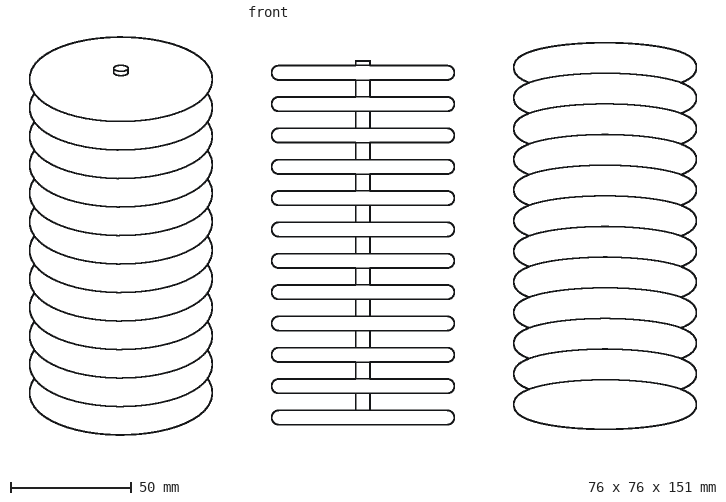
import cadquery as cq

total_height = 151.0
disc_diameter = 76.0
disc_thickness = 6.0
disc_count = 12
rod_diameter = 6.0
rod_tip_height = 2.0

rim_radius = disc_thickness / 2
face_radius = disc_diameter / 2 - rim_radius
disc_pitch = (total_height - rod_tip_height - disc_thickness) / (disc_count - 1)


def make_disc(base_height):
    """Flat disc with a fully rounded rim, resting at base_height."""
    profile = (
        cq.Workplane("XZ")
        .moveTo(0, 0)
        .lineTo(face_radius, 0)
        .threePointArc((disc_diameter / 2, rim_radius), (face_radius, disc_thickness))
        .lineTo(0, disc_thickness)
        .close()
    )
    disc = profile.revolve(360, (0, 0, 0), (0, 1, 0))
    return disc.translate((0, 0, base_height))


result = cq.Workplane("XY").circle(rod_diameter / 2).extrude(total_height)
for index in range(disc_count):
    result = result.union(make_disc(index * disc_pitch))

result = result.translate((0, 0, -total_height / 2))